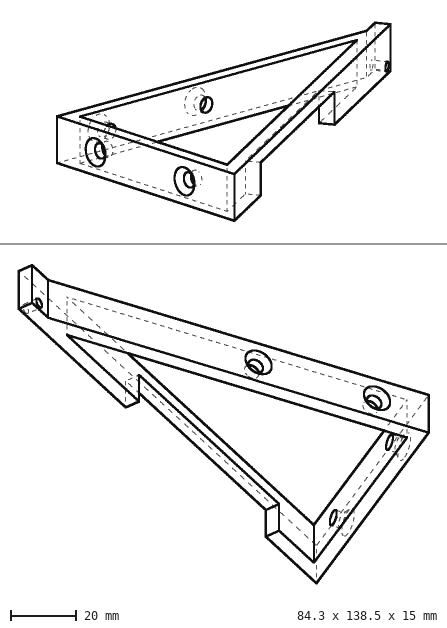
import cadquery as cq
import math

long_leg = 138.5
height = 15.0
wall = 5.0
tip_angle = 30.0

screw_diameter = 4.8
sink_diameter = 8.9
sink_angle = 90.0
screw_distances = (17.5, 57.5)

tip_hole_diameter = 3.0
tip_hole_from_end = 3.7
tip_hole_height = 2.5

opening_start = 57.5
opening_length = 75.2
opening_height = 10.5

tip_sin = math.sin(math.radians(tip_angle))
tip_cos = math.cos(math.radians(tip_angle))
tip_tan = tip_sin / tip_cos
short_leg = long_leg * tip_tan
inner_face_top = long_leg - wall / tip_sin

hypotenuse = cq.Plane(
    origin=(0, long_leg, 0), xDir=(tip_sin, -tip_cos, 0), normal=(0, 0, 1)
)


def make_frame():
    """Triangular frame whose hypotenuse wall runs on past the long leg."""
    outline = [
        (0, 0),
        (short_leg, 0),
        (0, long_leg),
        (-wall * tip_cos, long_leg - wall * tip_sin),
        (0, inner_face_top),
    ]
    window = [
        (wall, wall),
        ((inner_face_top - wall) * tip_tan, wall),
        (wall, inner_face_top - wall / tip_tan),
    ]
    body = cq.Workplane("XY").polyline(outline).close().extrude(height)
    return body.cut(cq.Workplane("XY").polyline(window).close().extrude(height))


def screw_cutter(point, direction):
    """Countersunk hole through one wall, starting at its outer face."""
    start = cq.Vector(*point)
    axis = cq.Vector(*direction)
    sink_radius = sink_diameter / 2
    cone_depth = sink_radius / math.tan(math.radians(sink_angle / 2))
    hole = cq.Solid.makeCylinder(screw_diameter / 2, wall, start, axis)
    sink = cq.Solid.makeCone(sink_radius, 0, cone_depth, start, axis)
    return hole.fuse(sink)


def make_opening():
    """Cutter for the opening under the hypotenuse, open at the bottom."""
    return (
        cq.Workplane(hypotenuse)
        .moveTo(opening_start, -wall)
        .rect(opening_length, wall, centered=False)
        .extrude(opening_height)
    )


def make_tip_hole():
    """Cutter for the hole square through the tip."""
    start = hypotenuse.toWorldCoords((tip_hole_from_end, -wall, tip_hole_height))
    return cq.Solid.makeCylinder(tip_hole_diameter / 2, wall, start, hypotenuse.yDir)


result = make_frame().cut(make_opening()).cut(make_tip_hole())
for distance in screw_distances:
    result = result.cut(screw_cutter((distance, 0, height / 2), (0, 1, 0)))
    result = result.cut(screw_cutter((0, distance, height / 2), (1, 0, 0)))